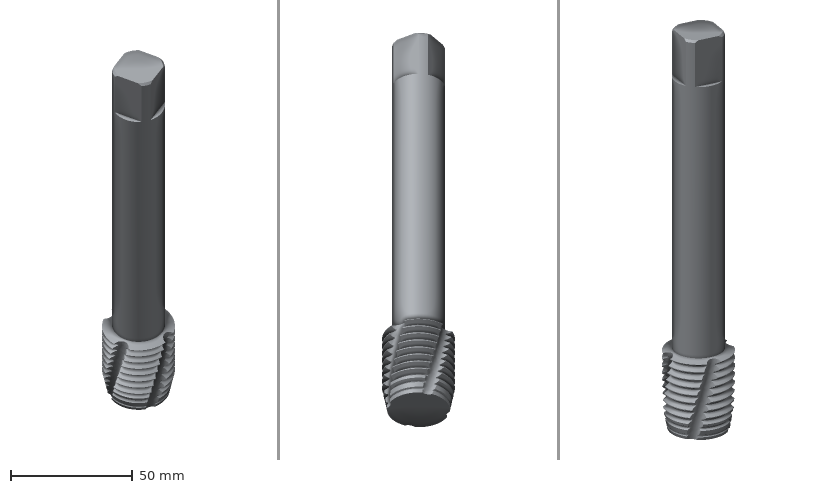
import cadquery as cq
import math

total_length = 180.0
shank_diameter = 22.0

square_width = 18.0
square_height = 20.9
end_chamfer = 0.9

head_height = 36.2
thread_diameter = 30.0
root_diameter = 25.5
first_full_crest = 10.6
last_crest = 35.1
full_pitches = 7
tip_diameter = 26.0
thread_half_angle = 30.0
crest_flat = 0.4

flute_count = 4
flute_radius = 3.5
flute_centre_distance = 15.5
flute_twist = 40.0

shank_radius = shank_diameter / 2
thread_radius = thread_diameter / 2
root_radius = root_diameter / 2
tip_radius = tip_diameter / 2
thread_pitch = (last_crest - first_full_crest) / full_pitches
thread_depth = thread_radius - root_radius
flank_height = thread_depth * math.tan(math.radians(thread_half_angle))
groove_mouth_half = (thread_pitch - crest_flat) / 2
groove_root_half = groove_mouth_half - flank_height


def make_shank():
    """Round shank with a chamfered driving square on its free end."""
    shank = (
        cq.Workplane("XY")
        .workplane(offset=head_height)
        .circle(shank_radius)
        .extrude(total_length - head_height)
        .faces(">Z")
        .chamfer(end_chamfer)
    )
    stock_width = 2 * shank_diameter
    square_base = cq.Workplane("XY").workplane(offset=total_length - square_height)
    waste = (
        square_base.rect(stock_width, stock_width)
        .rect(square_width, square_width)
        .extrude(square_height)
    )
    return shank.cut(waste)


def make_head_blank():
    """Turned blank: tapered lead at the tip and a shallow cone up to the shank."""
    return (
        cq.Workplane("XZ")
        .moveTo(0, 0)
        .lineTo(tip_radius, 0)
        .lineTo(thread_radius, first_full_crest)
        .lineTo(thread_radius, last_crest)
        .lineTo(shank_radius, head_height)
        .lineTo(0, head_height)
        .close()
        .revolve(360, (0, 0, 0), (0, 1, 0))
    )


def make_thread_groove(height):
    """Ring-shaped V groove with a flat root, centred at the given height."""
    return (
        cq.Workplane("XZ")
        .moveTo(root_radius, height - groove_root_half)
        .lineTo(thread_radius, height - groove_mouth_half)
        .lineTo(thread_radius, height + groove_mouth_half)
        .lineTo(root_radius, height + groove_root_half)
        .close()
        .revolve(360, (0, 0, 0), (0, 1, 0))
    )


def make_flute(angle):
    """Round-bottomed helical flute that turns with the height of the head."""
    return (
        cq.Workplane("XY")
        .polarArray(flute_centre_distance, angle, 360, 1)
        .circle(flute_radius)
        .twistExtrude(head_height, flute_twist)
    )


def make_head():
    """Cutting head: blank, ring grooves down to the tip, then the flutes."""
    head = make_head_blank()
    groove_height = last_crest - thread_pitch / 2
    while groove_height > 0:
        head = head.cut(make_thread_groove(groove_height))
        groove_height -= thread_pitch
    for index in range(flute_count):
        bottom_angle = index * 360 / flute_count - flute_twist
        head = head.cut(make_flute(bottom_angle))
    return head


shank = make_shank()
head = make_head()
result = cq.Compound.makeCompound([shank.val(), head.val()])